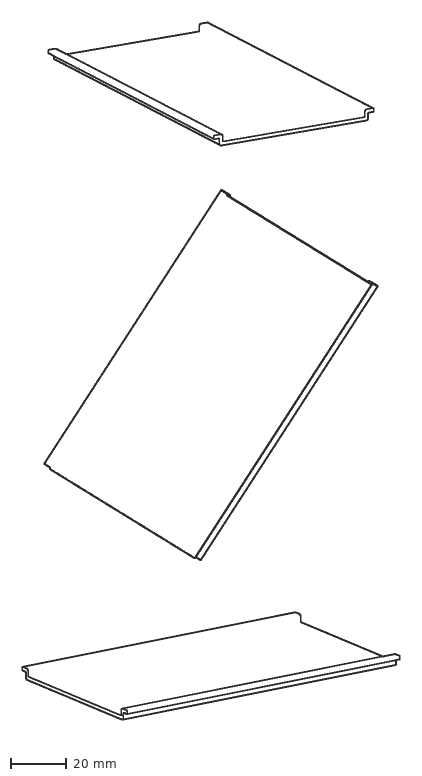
import cadquery as cq

length = 120.0
width = 67.0
height = 4.3

tip_radius = 0.5
tip_flat = 0.5
thickness = tip_flat + 2 * tip_radius
flange_overhang = 2.4
outer_bend_radius = 1.0
inner_bend_radius = 0.3

tip_y = width / 2
wall_outer_y = tip_y - flange_overhang
wall_inner_y = wall_outer_y - thickness
flange_bottom_z = height - thickness

half_section = [
    (wall_outer_y, 0, outer_bend_radius),
    (wall_outer_y, flange_bottom_z, inner_bend_radius),
    (tip_y, flange_bottom_z, tip_radius),
    (tip_y, height, tip_radius),
    (wall_inner_y, height, outer_bend_radius),
    (wall_inner_y, thickness, inner_bend_radius),
]
mirrored_half = [(-y, z, radius) for y, z, radius in reversed(half_section)]
corners = half_section + mirrored_half

tray = (
    cq.Workplane("YZ")
    .polyline([(y, z) for y, z, _ in corners])
    .close()
    .extrude(length / 2, both=True)
)

for bend_radius in (outer_bend_radius, inner_bend_radius, tip_radius):
    selected = tray.newObject([])
    for y, z, corner_radius in corners:
        if corner_radius == bend_radius:
            selected = selected.add(tray.edges(cq.NearestToPointSelector((0, y, z))))
    tray = selected.fillet(bend_radius)

result = tray